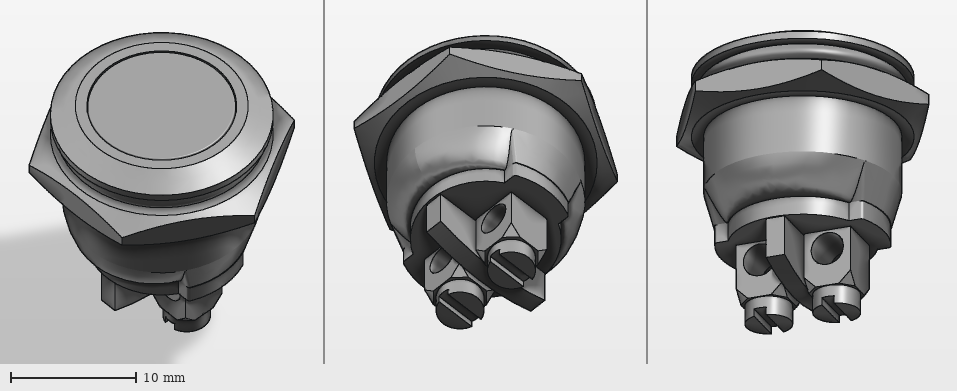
import cadquery as cq
import math

TOP_Z = 22.1
FLANGE_EDGE_Z = 21.13
FLANGE_BOTTOM_Z = 20.5
NUT_TOP_Z = 18.76
NUT_BOTTOM_Z = 15.91
SHOULDER_Z = 11.03
BOWL_BOTTOM_Z = 7.98
BASE_BOTTOM_Z = 6.4
BLOCK_BOTTOM_Z = 1.6

BEZEL_TOP_RADIUS = 6.9
FLANGE_RADIUS = 8.88
BARREL_RADIUS = 7.91
BASE_RADIUS = 6.01
BASE_TAB_RADIUS = 7.03
LIP = 0.05
TAB_HALF_WIDTH = 3.03
TAB_TOP_HALF_WIDTH = 3.93
TAB_CORNER_RADIUS = 0.3
BOWL_STEPS = 4

FIN_WIDTH = 1.6
FIN_LENGTH = 11.67
FIN_SIDE_Z = 3.03
FIN_TIP_Z = 2.01

BUTTON_RADIUS = 5.9
BUTTON_GAP = 0.07
BUTTON_HEIGHT = 1.6
BUTTON_EDGE_RADIUS = 0.15

RING_TUBE_RADIUS = (FLANGE_BOTTOM_Z - NUT_TOP_Z) / 2
RING_Z = (FLANGE_BOTTOM_Z + NUT_TOP_Z) / 2
RING_OUTER_RADIUS = 8.53

NUT_ACROSS_FLATS = 18.8
NUT_FACE_RADIUS = 8.88
NUT_BEVEL_HEIGHT = 1.0

TERMINAL_OFFSET = 2.92
BLOCK_SIDE = 4.0
BLOCK_CORNER_CUT = 1.0
WIRE_HOLE_DIAMETER = 2.76
WIRE_HOLE_Z = 4.8
SCREW_DIAMETER = 3.82
SLOT_WIDTH = 1.04
SLOT_DEPTH = 0.65


def cylinder(radius, bottom, top):
    return cq.Workplane("XY").workplane(offset=bottom).circle(radius).extrude(top - bottom)


def make_ring():
    centre_radius = RING_OUTER_RADIUS - RING_TUBE_RADIUS
    return (
        cq.Workplane("XZ")
        .center(centre_radius, RING_Z)
        .circle(RING_TUBE_RADIUS)
        .revolve(360, (-centre_radius, 0, 0), (-centre_radius, 1, 0))
    )


def make_barrel():
    """Bezel, flange and barrel as one turned profile."""
    return (
        cq.Workplane("XZ")
        .polyline([
            (0, TOP_Z),
            (BEZEL_TOP_RADIUS, TOP_Z),
            (FLANGE_RADIUS, FLANGE_EDGE_Z),
            (FLANGE_RADIUS, FLANGE_BOTTOM_Z),
            (BARREL_RADIUS, FLANGE_BOTTOM_Z),
            (BARREL_RADIUS, SHOULDER_Z),
            (0, SHOULDER_Z),
        ])
        .close()
        .revolve(360, (0, 0, 0), (0, 1, 0))
    )


def make_bowl():
    """Loft from barrel to base: straight flanks towards X, quarter-ellipse bulges towards Y."""
    bottom_radius = BASE_RADIUS + LIP
    narrowing = BARREL_RADIUS - bottom_radius
    sections = []
    for step in range(BOWL_STEPS + 1):
        angle = math.pi / 2 * step / BOWL_STEPS
        depth = math.sin(angle)
        z = SHOULDER_Z - (SHOULDER_Z - BOWL_BOTTOM_Z) * depth
        bulge_radius = bottom_radius + narrowing * math.cos(angle)
        flank_radius = BARREL_RADIUS - narrowing * depth
        plane = cq.Plane(origin=(0, 0, z), xDir=(0, 1, 0), normal=(0, 0, 1))
        sections.append(cq.Workplane(plane).ellipse(bulge_radius, flank_radius).wires().val())
    return cq.Workplane(obj=cq.Solid.makeLoft(sections))


def make_tapered_tabs():
    """The two tabs on +X and -X that taper from the barrel down to the base."""
    cone = (
        cq.Workplane("XY")
        .workplane(offset=BOWL_BOTTOM_Z)
        .circle(BASE_TAB_RADIUS + LIP)
        .workplane(offset=SHOULDER_Z - BOWL_BOTTOM_Z)
        .circle(BARREL_RADIUS)
        .loft()
    )
    wedge = (
        cq.Workplane("YZ")
        .polyline([
            (-TAB_HALF_WIDTH, BOWL_BOTTOM_Z),
            (TAB_HALF_WIDTH, BOWL_BOTTOM_Z),
            (TAB_TOP_HALF_WIDTH, SHOULDER_Z),
            (-TAB_TOP_HALF_WIDTH, SHOULDER_Z),
        ])
        .close()
        .extrude(BARREL_RADIUS, both=True)
    )
    tabs = cone.intersect(wedge)
    side_edges = "not(>Z or <Z)"
    return tabs.edges(side_edges).fillet(TAB_CORNER_RADIUS)


def make_base():
    """Round base with a rounded-corner tab on +X and on -X."""
    tab_bar = (
        cq.Workplane("XY")
        .workplane(offset=BASE_BOTTOM_Z)
        .rect(2 * BASE_TAB_RADIUS, 2 * TAB_HALF_WIDTH)
        .extrude(BOWL_BOTTOM_Z - BASE_BOTTOM_Z)
    )
    tabs = tab_bar.intersect(cylinder(BASE_TAB_RADIUS, BASE_BOTTOM_Z, BOWL_BOTTOM_Z))
    tabs = tabs.edges("|Z").fillet(TAB_CORNER_RADIUS)
    return cylinder(BASE_RADIUS, BASE_BOTTOM_Z, BOWL_BOTTOM_Z).union(tabs)


def make_fin():
    """Upright plate between the terminals, with an arched lower edge."""
    return (
        cq.Workplane("YZ")
        .moveTo(-FIN_LENGTH / 2, BASE_BOTTOM_Z)
        .lineTo(-FIN_LENGTH / 2, FIN_SIDE_Z)
        .threePointArc((0, FIN_TIP_Z), (FIN_LENGTH / 2, FIN_SIDE_Z))
        .lineTo(FIN_LENGTH / 2, BASE_BOTTOM_Z)
        .close()
        .extrude(FIN_WIDTH / 2, both=True)
    )


def make_housing(ring):
    button_pocket = cylinder(BUTTON_RADIUS + BUTTON_GAP, TOP_Z - BUTTON_HEIGHT, TOP_Z)
    return (
        make_barrel()
        .union(make_bowl())
        .union(make_tapered_tabs())
        .union(make_base())
        .union(make_fin())
        .cut(button_pocket)
        .cut(ring)
    )


def make_button():
    button = cylinder(BUTTON_RADIUS, TOP_Z - BUTTON_HEIGHT, TOP_Z)
    return button.faces(">Z").edges().fillet(BUTTON_EDGE_RADIUS)


def make_nut():
    """Hexagon nut with corners on the X axis, bevelled on both faces."""
    corner_radius = NUT_ACROSS_FLATS / math.sqrt(3)
    hexagon = (
        cq.Workplane("XY")
        .workplane(offset=NUT_BOTTOM_Z)
        .polygon(6, 2 * corner_radius)
        .extrude(NUT_TOP_Z - NUT_BOTTOM_Z)
    )
    bevel_envelope = (
        cq.Workplane("XZ")
        .polyline([
            (0, NUT_BOTTOM_Z),
            (NUT_FACE_RADIUS, NUT_BOTTOM_Z),
            (corner_radius, NUT_BOTTOM_Z + NUT_BEVEL_HEIGHT),
            (corner_radius, NUT_TOP_Z - NUT_BEVEL_HEIGHT),
            (NUT_FACE_RADIUS, NUT_TOP_Z),
            (0, NUT_TOP_Z),
        ])
        .close()
        .revolve(360, (0, 0, 0), (0, 1, 0))
    )
    bore = cylinder(BARREL_RADIUS, NUT_BOTTOM_Z, NUT_TOP_Z)
    return hexagon.intersect(bevel_envelope).cut(bore)


def make_corner_cut():
    """Tetrahedron between a lower block corner and the three points cut back from it."""
    half = BLOCK_SIDE / 2
    inset = half - BLOCK_CORNER_CUT
    corner = cq.Vector(half, half, BLOCK_BOTTOM_Z)
    points = [
        cq.Vector(inset, half, BLOCK_BOTTOM_Z),
        cq.Vector(half, inset, BLOCK_BOTTOM_Z),
        cq.Vector(half, half, BLOCK_BOTTOM_Z + BLOCK_CORNER_CUT),
    ]
    triangles = [
        (points[0], points[1], points[2]),
        (corner, points[0], points[1]),
        (corner, points[1], points[2]),
        (corner, points[2], points[0]),
    ]
    faces = [cq.Face.makeFromWires(cq.Wire.makePolygon(list(t), close=True)) for t in triangles]
    return cq.Workplane(obj=cq.Solid.makeSolid(cq.Shell.makeShell(faces)))


def make_terminal(x):
    """Square block with a cross hole, cut lower corners and a slotted screw head below."""
    half = BLOCK_SIDE / 2
    block = (
        cq.Workplane("XY")
        .workplane(offset=BLOCK_BOTTOM_Z)
        .rect(BLOCK_SIDE, BLOCK_SIDE)
        .extrude(BASE_BOTTOM_Z - BLOCK_BOTTOM_Z)
    )
    corner_cut = make_corner_cut()
    for quarter in range(4):
        block = block.cut(corner_cut.rotate((0, 0, 0), (0, 0, 1), 90 * quarter))
    wire_hole = (
        cq.Workplane("XZ").center(0, WIRE_HOLE_Z).circle(WIRE_HOLE_DIAMETER / 2).extrude(half, both=True)
    )
    screw = cylinder(SCREW_DIAMETER / 2, 0, BLOCK_BOTTOM_Z)
    slot = cq.Workplane("XY").rect(SLOT_WIDTH, SCREW_DIAMETER).extrude(SLOT_DEPTH)
    return block.cut(wire_hole).union(screw.cut(slot)).translate((x, 0, 0))


ring = make_ring()
housing = make_housing(ring)
button = make_button()
nut = make_nut()
terminals = [make_terminal(side * TERMINAL_OFFSET) for side in (-1, 1)]

result = cq.Compound.makeCompound([
    housing.val(),
    ring.val(),
    button.val(),
    nut.val(),
    *[terminal.val() for terminal in terminals],
])